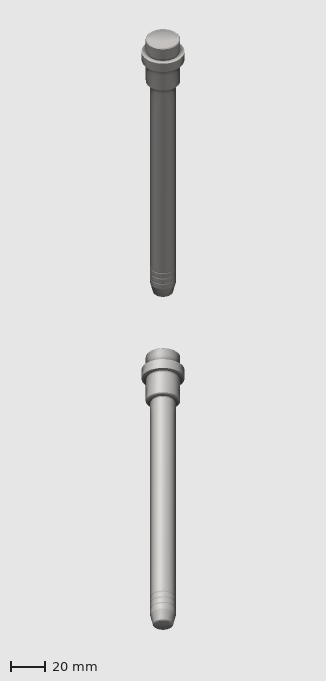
import cadquery as cq
import math

total_height = 181.0
head_height = 9.0
flange_height = 6.0
sleeve_height = 15.5
taper_height = 7.0

flange_radius = 25.0 / 2
head_radius = 20.1 / 2
stem_radius = 15.0 / 2

taper_angle = 14.0
tip_chamfer = 0.5
head_chamfer = 0.5
relief_depth = 0.4
relief_ramp = 0.5
relief_width = 1.0
neck_depth = 0.5
neck_width = 1.0
neck_ramp = 0.5
groove_count = 3
groove_pitch = 3.8
groove_width = 1.0
groove_depth = 0.2

flange_top = total_height - head_height
flange_bottom = flange_top - flange_height
sleeve_bottom = flange_bottom - sleeve_height
tip_radius = stem_radius - taper_height * math.tan(math.radians(taper_angle))


def cylinder(radius, bottom, top):
    """Solid cylinder on the Z axis between two heights."""
    return cq.Workplane("XY").workplane(offset=bottom).circle(radius).extrude(top - bottom)


def ring(profile):
    """Solid of revolution about Z from (radius, height) points."""
    return cq.Workplane("XZ").polyline(profile).close().revolve(360, (0, 0), (0, 1))


def v_groove(middle):
    """Cutter for a shallow V groove around the stem."""
    return ring([
        (stem_radius, middle - groove_width / 2),
        (stem_radius - groove_depth, middle),
        (stem_radius, middle + groove_width / 2),
    ])


def relief(radius, depth, shoulder, width, ramp):
    """Cutter for an undercut against a shoulder; a negative width runs downward.

    The ramp is the sloped run-out, taking up the last part of the width.
    """
    direction = math.copysign(1, width)
    return ring([
        (radius, shoulder),
        (radius - depth, shoulder),
        (radius - depth, shoulder + width - direction * ramp),
        (radius, shoulder + width),
    ])


def make_stem():
    """Long pin with a tapered, chamfered tip, V grooves and a relieved neck."""
    tip = cq.Workplane("XY").circle(tip_radius).workplane(offset=taper_height).circle(stem_radius).loft()
    tip = tip.faces("<Z").chamfer(tip_chamfer)
    stem = tip.union(cylinder(stem_radius, taper_height, sleeve_bottom))
    for index in range(groove_count):
        groove_middle = taper_height + (index + 1) * groove_pitch
        stem = stem.cut(v_groove(groove_middle))
    return stem.cut(relief(stem_radius, neck_depth, sleeve_bottom, -neck_width, neck_ramp))


def make_head():
    """Sleeve and head, chamfered at the ends and relieved on both sides of the flange."""
    head = cylinder(head_radius, sleeve_bottom, total_height)
    head = head.faces("<Z or >Z").chamfer(head_chamfer)
    for shoulder, width in ((flange_top, relief_width), (flange_bottom, -relief_width)):
        head = head.cut(relief(head_radius, relief_depth, shoulder, width, relief_ramp))
    return head.union(cylinder(flange_radius, flange_bottom, flange_top))


pin = make_stem().union(make_head())
result = pin.translate((0, 0, -total_height / 2))